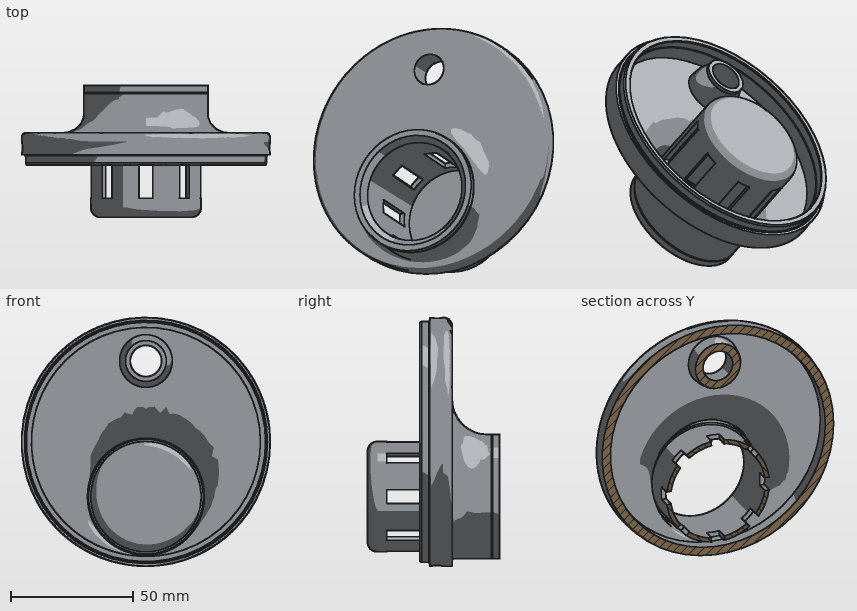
import cadquery as cq
import math

LID_R = 50.8
LID_BACK_Y = 13.3
LIP_FRONT_Y = 4.2
LIP_BACK_Y = 4.6
GRIP_BACK_Y = 9.5
GRIP_DEPTH = 0.3
CORNER_RADII = (3.7, 0.6)

RIM_R = 98.5 / 2
RIM_TIP_R = 97.6 / 2
RIM_CHAMFER_LENGTH = 0.9
RIM_FILLET = 0.4

CAVITY_R = 46.7
FLOOR_Y = 11.2
FLOOR_CORNER_RADII = (1.0, 0.2)
INNER_GROOVE_R = 94.4 / 2
INNER_GROOVE_FRONT_Y = 0.7
INNER_GROOVE_BACK_Y = LIP_BACK_Y

BOSS_Z = 33.0
BOSS_R = 16.7 / 2
BOSS_HOLE_R = 12.7 / 2
BOSS_FOOT_R = 10.8
BOSS_FLARE_FRONT_Y = 1.4

SPIGOT_Z = -22.4
SPIGOT_R = 25.4
SPIGOT_BORE_R = 47.8 / 2
SPIGOT_BACK_Y = 29.3
OUTER_FLARE_RADII = (14.2, 0.4)
INNER_FLARE_RADII = (16.3, 0.8)

CUP_R = 22.6
CUP_WALL = 2.0
CUP_FRONT_Y = -21.3
CUP_BACK_Y = 32.6
CUP_EDGE_FILLET = 4.1
CUP_NECK_R = 46.8 / 2
CUP_NECK_FRONT_Y = 22.4
CUP_FLANGE_FRONT_Y = 29.8
CUP_MOUTH_CHAMFER = 2.4
SLOT_COUNT = 8
SLOT_WIDTH = 5.5
SLOT_FRONT_Y = -13.4
SLOT_LENGTH = 24.8

SECTION_COUNT = 7
OVERLAP = 0.2
SPIGOT_OVERLAP = 2.0


def cylinder(radius, front_y, back_y, z=0.0):
    """Cylinder along Y between two Y positions."""
    disc = cq.Workplane("XZ", origin=(0, front_y, z)).circle(radius)
    return disc.extrude(front_y - back_y)


def revolve_profile(profile):
    """Revolve a profile drawn in (radius, y) about the Y axis."""
    return profile.close().revolve(360, (0, 0), (0, 1))


def corner_ring(radius, y, radii, radial_side, axial_side, overlap=OVERLAP, end_y=None):
    """Ring that fills the corner at (radius, y) up to a concave arc.

    The arc radius changes smoothly from top to bottom. The signs say on which
    side of the corner the ring lies, radially and along Y. With end_y the ring
    carries on along Y past the arc, as a straight wall up to that position.
    """
    path = cq.Workplane("XZ").moveTo(0, radius).threePointArc((radius, 0), (0, -radius))
    sections = []
    top_radius, bottom_radius = radii
    for index in range(SECTION_COUNT):
        angle = math.pi * index / (SECTION_COUNT - 1)
        top_share = (1 + math.cos(angle)) / 2
        arc_radius = bottom_radius + (top_radius - bottom_radius) * top_share
        outward = cq.Vector(math.sin(angle), 0, math.cos(angle))
        plane = cq.Plane((0, 0, 0), outward, outward.cross(cq.Vector(0, 1, 0)))
        far_r = radius + radial_side * arc_radius
        far_y = y + axial_side * arc_radius
        back_r = radius - radial_side * overlap
        back_y = y - axial_side * overlap
        arc_offset = arc_radius * (1 - math.sqrt(0.5))
        middle = (radius + radial_side * arc_offset, y + axial_side * arc_offset)
        section = (
            cq.Workplane(plane)
            .moveTo(back_r, back_y)
            .lineTo(far_r, back_y)
            .lineTo(far_r, y)
            .threePointArc(middle, (radius, far_y))
        )
        if end_y is None:
            section = section.lineTo(back_r, far_y)
        else:
            section = section.lineTo(radius, end_y).lineTo(back_r, end_y)
        sections.append(section.close().val())
    half = cq.Solid.sweep_multi(sections, path.val())
    return cq.Workplane(half).union(cq.Workplane(half.mirror("YZ")))


def make_lid_disc():
    """Stepped disc with a shallow concave grip around its edge."""
    profile = (
        cq.Workplane("XY")
        .lineTo(RIM_TIP_R, 0)
        .lineTo(RIM_R, RIM_CHAMFER_LENGTH)
        .lineTo(RIM_R, LIP_FRONT_Y - RIM_FILLET)
        .radiusArc((RIM_R + RIM_FILLET, LIP_FRONT_Y), -RIM_FILLET)
        .lineTo(LID_R, LIP_FRONT_Y)
        .lineTo(LID_R, LIP_BACK_Y)
        .threePointArc((LID_R - GRIP_DEPTH, (LIP_BACK_Y + GRIP_BACK_Y) / 2), (LID_R, GRIP_BACK_Y))
        .lineTo(LID_R, LID_BACK_Y)
        .lineTo(0, LID_BACK_Y)
    )
    rounding = corner_ring(LID_R, LID_BACK_Y, CORNER_RADII, -1, -1)
    return revolve_profile(profile).cut(rounding)


def make_cavity():
    """Space inside the lid, with a groove in its wall and a softened floor corner."""
    cavity = cylinder(CAVITY_R, 0, FLOOR_Y)
    cavity = cavity.cut(corner_ring(CAVITY_R, FLOOR_Y, FLOOR_CORNER_RADII, -1, -1))
    return cavity.union(cylinder(INNER_GROOVE_R, INNER_GROOVE_FRONT_Y, INNER_GROOVE_BACK_Y))


def make_boss():
    """Boss from the rim plane to the floor, widening towards its foot along a long arc."""
    flare_length = FLOOR_Y - BOSS_FLARE_FRONT_Y
    flare_width = BOSS_FOOT_R - BOSS_R
    arc_radius = (flare_length**2 + flare_width**2) / (2 * flare_width)
    profile = (
        cq.Workplane("XY")
        .lineTo(BOSS_R, 0)
        .lineTo(BOSS_R, BOSS_FLARE_FRONT_Y)
        .radiusArc((BOSS_FOOT_R, FLOOR_Y), -arc_radius)
        .lineTo(BOSS_FOOT_R, FLOOR_Y + OVERLAP)
        .lineTo(0, FLOOR_Y + OVERLAP)
    )
    return revolve_profile(profile).translate((0, 0, BOSS_Z))


def make_spigot():
    """Tube on the back of the lid, blended into it by a flare of changing radius."""
    spigot = corner_ring(SPIGOT_R, LID_BACK_Y, OUTER_FLARE_RADII, 1, 1, SPIGOT_OVERLAP, SPIGOT_BACK_Y)
    return spigot.translate((0, 0, SPIGOT_Z))


def make_passage():
    """Space through the spigot: the bore and its flared mouth at the cavity floor."""
    passage = corner_ring(SPIGOT_BORE_R, FLOOR_Y, INNER_FLARE_RADII, 1, 1, SPIGOT_OVERLAP, SPIGOT_BACK_Y)
    core_radius = SPIGOT_BORE_R - SPIGOT_OVERLAP / 2
    passage = passage.union(cylinder(core_radius, FLOOR_Y - SPIGOT_OVERLAP, SPIGOT_BACK_Y))
    passage = passage.translate((0, 0, SPIGOT_Z))
    return passage.intersect(cylinder(CAVITY_R, 0, SPIGOT_BACK_Y))


def make_lid():
    lid = make_lid_disc().union(make_spigot())
    lid = lid.cut(make_cavity()).cut(make_passage())
    lid = lid.union(make_boss())
    return lid.cut(cylinder(BOSS_HOLE_R, 0, LID_BACK_Y, BOSS_Z))


def make_strainer_cup():
    """Slotted cup, closed in front, whose back flange covers the spigot end."""
    cup = cylinder(CUP_R, CUP_FRONT_Y, CUP_BACK_Y).faces("<Y").edges().fillet(CUP_EDGE_FILLET)
    cup = cup.union(cylinder(CUP_NECK_R, CUP_NECK_FRONT_Y, CUP_BACK_Y))
    cup = cup.union(cylinder(SPIGOT_R, CUP_FLANGE_FRONT_Y, CUP_BACK_Y))
    cup = cup.cut(cylinder(CUP_R - CUP_WALL, CUP_FRONT_Y + CUP_WALL, CUP_BACK_Y))
    cup = cup.faces(">Y").edges(cq.selectors.RadiusNthSelector(0)).chamfer(CUP_MOUTH_CHAMFER)
    slot = cq.Workplane("XY").box(CUP_NECK_R, SLOT_LENGTH, SLOT_WIDTH, centered=(False, False, True))
    slot = slot.translate((0, SLOT_FRONT_Y, 0))
    for index in range(SLOT_COUNT):
        cup = cup.cut(slot.rotate((0, 0, 0), (0, 1, 0), index * 360 / SLOT_COUNT))
    return cup.translate((0, 0, SPIGOT_Z))


lid = make_lid()
strainer_cup = make_strainer_cup()
result = cq.Compound.makeCompound([lid.val(), strainer_cup.val()])